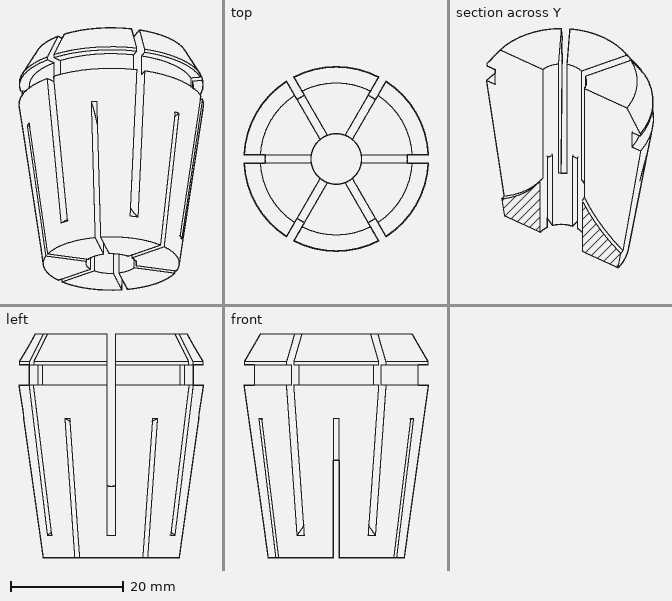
import cadquery as cq
import math

height = 40.0
body_diameter = 33.0
bore_diameter = 9.0

taper_angle = 8.0
groove_bottom_z = 30.86
groove_top_z = 34.5
groove_radius = 14.65
nose_rim_radius = 16.4
nose_cone_angle = 30.0
nose_cone_start_z = 35.1

slots_per_end = 6
top_slot_width = 1.5
bottom_slot_width = 1.0

top_slot_bore_z = 12.8
top_slot_taper_z = 4.0
top_slot_floor_radius = 25.0
bottom_slot_bore_z = 17.45
bottom_slot_taper_z = 24.9
bottom_slot_floor_radius = 18.0

cut_overrun = 1.0

body_radius = body_diameter / 2
bore_radius = bore_diameter / 2
slot_pitch = 360.0 / slots_per_end


def taper_radius(z):
    """Outer radius of the clamping taper at height z."""
    return body_radius - (groove_bottom_z - z) * math.tan(math.radians(taper_angle))


def make_body():
    """Revolve the outer profile and the bore as one ring section."""
    nose_cone_height = height - nose_cone_start_z
    nose_top_radius = nose_rim_radius - nose_cone_height * math.tan(math.radians(nose_cone_angle))
    profile = [
        (bore_radius, 0),
        (taper_radius(0), 0),
        (body_radius, groove_bottom_z),
        (groove_radius, groove_bottom_z),
        (groove_radius, groove_top_z),
        (nose_rim_radius, groove_top_z),
        (nose_rim_radius, nose_cone_start_z),
        (nose_top_radius, height),
        (bore_radius, height),
    ]
    return cq.Workplane("XZ").polyline(profile).close().revolve(360, (0, 0, 0), (0, 1, 0))


def floor_arc_centre(bore_z, taper_z, radius, open_direction):
    """Centre (r, z) of the arc through the slot floor's bore and taper ends.

    open_direction is 1 for a slot open at the top, -1 for one open at the bottom;
    the centre lies on that side of the floor, beyond the taper.
    """
    run = taper_radius(taper_z) - bore_radius
    rise = taper_z - bore_z
    chord = math.hypot(run, rise)
    centre_distance = math.sqrt(radius**2 - (chord / 2) ** 2)
    centre_r = bore_radius + run / 2 - open_direction * centre_distance * rise / chord
    centre_z = bore_z + rise / 2 + open_direction * centre_distance * run / chord
    return centre_r, centre_z


def make_slot_cutter(bore_z, taper_z, radius, width, open_direction):
    """Radial slot along +X with a saw-cut arc floor, open at one end of the collet."""
    centre_r, centre_z = floor_arc_centre(bore_z, taper_z, radius, open_direction)
    inner_r = bore_radius - cut_overrun
    outer_r = body_radius + cut_overrun
    open_z = height + cut_overrun if open_direction > 0 else -cut_overrun

    def floor_z(r):
        return centre_z - open_direction * math.sqrt(radius**2 - (r - centre_r) ** 2)

    middle_r = (inner_r + outer_r) / 2
    return (
        cq.Workplane("XZ")
        .moveTo(inner_r, open_z)
        .lineTo(inner_r, floor_z(inner_r))
        .threePointArc((middle_r, floor_z(middle_r)), (outer_r, floor_z(outer_r)))
        .lineTo(outer_r, open_z)
        .close()
        .extrude(width / 2, both=True)
    )


def cut_slots(body, cutter, start_angle):
    """Cut one evenly spaced ring of slots."""
    for i in range(slots_per_end):
        angle = start_angle + i * slot_pitch
        body = body.cut(cutter.rotate((0, 0, 0), (0, 0, 1), angle))
    return body


top_slot = make_slot_cutter(
    top_slot_bore_z, top_slot_taper_z, top_slot_floor_radius, top_slot_width, open_direction=1
)
bottom_slot = make_slot_cutter(
    bottom_slot_bore_z, bottom_slot_taper_z, bottom_slot_floor_radius, bottom_slot_width, open_direction=-1
)

result = make_body()
result = cut_slots(result, top_slot, start_angle=0)
result = cut_slots(result, bottom_slot, start_angle=slot_pitch / 2)